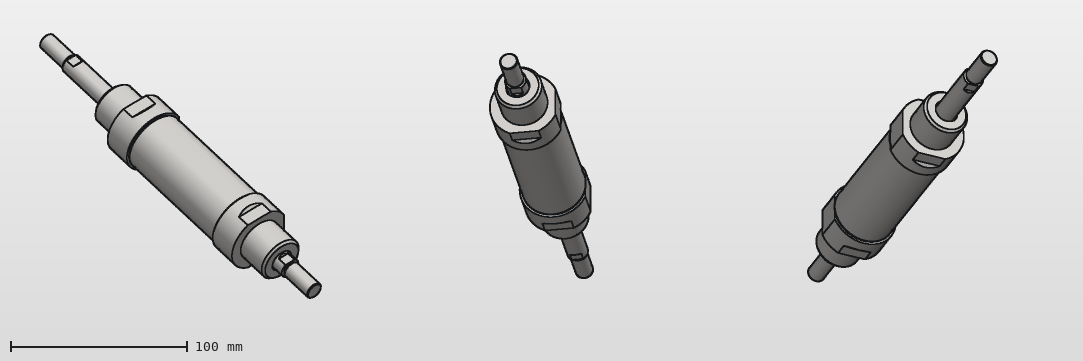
import cadquery as cq

TOTAL_LENGTH = 243.0
OUTER_HEIGHT = 39.5

TUBE_DIAMETER = 36.7
TUBE_RADIUS = TUBE_DIAMETER / 2

COLLAR_RADIUS = OUTER_HEIGHT / 2
COLLAR_LENGTH = 17.5
LIP_LENGTH = 0.7
COLLAR_FLAT_OFFSET = 18.0
WRENCH_FLAT_LENGTH = 8.0
BOSS_DIAMETER = 27.0
BOSS_RADIUS = BOSS_DIAMETER / 2
BOSS_LENGTH = 20.5
BOSS_CHAMFER = 1.5
BORE_RADIUS = 6.8

ROD_RADIUS = 6.0
TIP_RADIUS = 5.0
NECK_RADIUS = 4.4
TIP_LENGTH = 21.0
NECK_LENGTH = 1.2
TIP_CHAMFER = 0.5
ROD_FLAT_OFFSET = TIP_RADIUS
ROD_FLAT_LENGTH = 6.0
LEFT_ROD_REACH = 59.8
RIGHT_ROD_REACH = 29.6

LEFT_BOSS_FACE = -TOTAL_LENGTH / 2 + LEFT_ROD_REACH
RIGHT_BOSS_FACE = TOTAL_LENGTH / 2 - RIGHT_ROD_REACH
CAP_LENGTH = BOSS_LENGTH + COLLAR_LENGTH + LIP_LENGTH
TUBE_START = LEFT_BOSS_FACE + CAP_LENGTH
TUBE_END = RIGHT_BOSS_FACE - CAP_LENGTH


def cylinder(start, length, radius):
    """Solid cylinder along +X, beginning at X = start."""
    return cq.Workplane("YZ", origin=(start, 0, 0)).circle(radius).extrude(length)


def wrench_flats(start, length, offset, radius):
    """Cutters for two flats at Z = +/-offset, each run out by a 45 degree slope at its +X end."""
    depth = radius - offset
    upper = (
        cq.Workplane("XZ")
        .moveTo(start, offset)
        .lineTo(start + length, offset)
        .lineTo(start + length + depth, radius)
        .lineTo(start, radius)
        .close()
        .extrude(radius, both=True)
    )
    return upper.union(upper.mirror("XY"))


def make_tube():
    return cylinder(TUBE_START, TUBE_END - TUBE_START, TUBE_RADIUS)


def make_cap():
    """Left-hand cap with its boss face at X = 0 and its lip toward +X."""
    boss = cylinder(0, BOSS_LENGTH, BOSS_RADIUS).faces("<X").chamfer(BOSS_CHAMFER)
    collar = cylinder(BOSS_LENGTH, COLLAR_LENGTH, COLLAR_RADIUS)
    collar = collar.cut(wrench_flats(BOSS_LENGTH, WRENCH_FLAT_LENGTH, COLLAR_FLAT_OFFSET, COLLAR_RADIUS))

    side_cutter = cq.Workplane("XY").box(
        COLLAR_LENGTH, COLLAR_RADIUS, OUTER_HEIGHT, centered=(False, False, True)
    )
    collar = collar.cut(side_cutter.translate((BOSS_LENGTH, COLLAR_FLAT_OFFSET, 0)))
    lip = cylinder(BOSS_LENGTH + COLLAR_LENGTH, LIP_LENGTH, TUBE_RADIUS)

    bore = cylinder(0, CAP_LENGTH, BORE_RADIUS)
    return boss.union(collar).union(lip).cut(bore)


def make_rod(reach):
    """Left-hand rod with its tip face at X = 0, running through the cap to the tube end face."""
    length = reach + CAP_LENGTH
    shank_start = TIP_LENGTH + NECK_LENGTH
    shank = cylinder(shank_start, length - shank_start, ROD_RADIUS)
    shank = shank.cut(wrench_flats(shank_start, ROD_FLAT_LENGTH, ROD_FLAT_OFFSET, ROD_RADIUS))
    neck = cylinder(TIP_LENGTH, NECK_LENGTH, NECK_RADIUS)
    tip = cylinder(0, TIP_LENGTH, TIP_RADIUS).faces("<X").chamfer(TIP_CHAMFER)
    return tip.union(neck).union(shank)


tube = make_tube()

ends = [
    (LEFT_BOSS_FACE, LEFT_ROD_REACH, False),
    (RIGHT_BOSS_FACE, RIGHT_ROD_REACH, True),
]
caps = []
rods = []
for boss_face, reach, mirrored in ends:
    cap = make_cap()
    rod = make_rod(reach).translate((-reach, 0, 0))
    if mirrored:
        cap = cap.mirror("YZ")
        rod = rod.mirror("YZ")
    caps.append(cap.translate((boss_face, 0, 0)).val())
    rods.append(rod.translate((boss_face, 0, 0)).val())

result = cq.Compound.makeCompound([tube.val(), *caps, *rods])